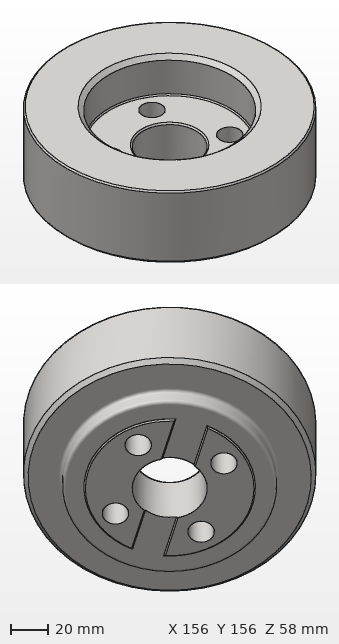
import cadquery as cq
import math

body_radius = 78.0
total_height = 58.0
top_edge_chamfer = 1.0
bottom_edge_chamfer = 2.5

pad_height = 1.0
hub_height = 9.0
hub_radius = 57.0
hub_round = 1.9
pad_radius = 45.7
pad_edge_chamfer = 0.8
pad_gap_width = 17.1

pocket_radius = 45.8
pocket_depth = 25.3
pocket_floor_chamfer = 0.8
rim_chamfer_width = 3.0
rim_chamfer_angle = 40.0

bore_radius = 20.0
bore_chamfer = 1.0
bolt_hole_diameter = 14.0
bolt_hole_spacing = 47.2

hub_bottom = pad_height
body_bottom = hub_bottom + hub_height
pocket_floor = total_height - pocket_depth


def disc(radius, bottom, height):
    return cq.Workplane("XY").workplane(offset=bottom).circle(radius).extrude(height)


def make_body():
    body = disc(body_radius, body_bottom, total_height - body_bottom)
    return body.faces(">Z").chamfer(top_edge_chamfer).faces("<Z").chamfer(bottom_edge_chamfer)


def make_hub():
    """Turned hub with a rounded bottom edge and a fillet into the body."""
    diagonal = hub_round * math.sqrt(0.5)
    lower_centre_r = hub_radius - hub_round
    lower_centre_z = hub_bottom + hub_round
    upper_centre_r = hub_radius + hub_round
    upper_centre_z = body_bottom - hub_round
    profile = (
        cq.Workplane("XZ")
        .moveTo(0, hub_bottom)
        .lineTo(lower_centre_r, hub_bottom)
        .threePointArc(
            (lower_centre_r + diagonal, lower_centre_z - diagonal),
            (hub_radius, lower_centre_z),
        )
        .lineTo(hub_radius, upper_centre_z)
        .threePointArc(
            (upper_centre_r - diagonal, upper_centre_z + diagonal),
            (upper_centre_r, body_bottom),
        )
        .lineTo(0, body_bottom)
        .close()
    )
    return profile.revolve(360, (0, 0, 0), (0, 1, 0))


def make_pads():
    """Two raised pads: a disc split by a gap along X, with chamfered edges."""
    gap = cq.Workplane("XY").box(2 * body_radius, pad_gap_width, 2 * pad_height)
    return disc(pad_radius, 0, pad_height).cut(gap).faces("<Z").chamfer(pad_edge_chamfer)


def make_pocket():
    """Pocket space with a sloped rim and a small chamfer around its floor."""
    rim_depth = rim_chamfer_width * math.tan(math.radians(rim_chamfer_angle))
    profile = cq.Workplane("XZ").polyline([
        (0, pocket_floor),
        (pocket_radius - pocket_floor_chamfer, pocket_floor),
        (pocket_radius, pocket_floor + pocket_floor_chamfer),
        (pocket_radius, total_height - rim_depth),
        (pocket_radius + rim_chamfer_width, total_height),
        (0, total_height),
    ]).close()
    return profile.revolve(360, (0, 0, 0), (0, 1, 0))


def make_bore():
    """Through bore, widened by a chamfer at the pocket floor."""
    profile = cq.Workplane("XZ").polyline([
        (0, 0),
        (bore_radius, 0),
        (bore_radius, pocket_floor - bore_chamfer),
        (bore_radius + bore_chamfer, pocket_floor),
        (0, pocket_floor),
    ]).close()
    return profile.revolve(360, (0, 0, 0), (0, 1, 0))


def make_bolt_holes():
    return (
        cq.Workplane("XY")
        .rect(bolt_hole_spacing, bolt_hole_spacing, forConstruction=True)
        .vertices()
        .circle(bolt_hole_diameter / 2)
        .extrude(pocket_floor)
    )


wheel = make_body().union(make_hub()).union(make_pads())
result = wheel.cut(make_pocket()).cut(make_bore()).cut(make_bolt_holes())